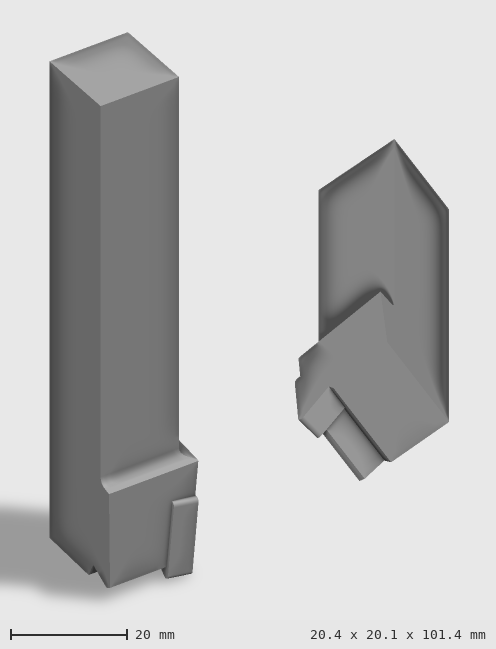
import cadquery as cq
import math

overall_height = 101.4
shank_width = 16.0
shelf_height = 22.7
shelf_angle = 15.0
shelf_fillet = 1.6
head_top_x = 18.6
head_low_x = 19.0
head_low_z = 2.6
nose_bevel_x = 17.8
nose_bevel_z = 2.0
notch_x = 13.7
notch_z = 4.4
heel_x = 12.3
heel_z = 1.4
base_left_z = 2.0

rake_slope = 0.1
head_depth = 20.1

insert_edge = 16.5
insert_thickness = 4.8
insert_nose_radius = 0.8
insert_lean = 1.2
insert_tip_x = 20.4
insert_tip_z = -0.57

shelf_slope = math.tan(math.radians(shelf_angle))
shelf_edge_z = shelf_height - (head_depth - shank_width) * shelf_slope


def rake_y(x, z):
    """Y of the rake plane at the given X and Z."""
    return head_depth - rake_slope * (x + shelf_edge_z - z)


def rake_plane(x, z):
    """Plane on the rake face: local X runs upward and local Y toward +X."""
    return cq.Plane(
        origin=(x, rake_y(x, z), z),
        xDir=(0, rake_slope, 1),
        normal=(rake_slope, 1, -rake_slope),
    )


def fillet_shelf(profile, direction, corner):
    """Round the inner corner between shank and shelf, an edge along the given direction."""
    inner_edge = profile.edges(direction).edges(cq.NearestToPointSelector(corner))
    return inner_edge.fillet(shelf_fillet)


def make_front_profile():
    """Prism along Y that carries the notch and the step on the +X side."""
    head_edge_z = shelf_height - (head_top_x - shank_width) * shelf_slope
    outline = [
        (0, overall_height),
        (0, base_left_z),
        (heel_x, heel_z),
        (notch_x, notch_z),
        (nose_bevel_x, nose_bevel_z),
        (head_low_x, head_low_z),
        (head_top_x, head_edge_z),
        (shank_width, shelf_height),
        (shank_width, overall_height),
    ]
    profile = cq.Workplane("XZ").polyline(outline).close().extrude(-head_depth)
    return fillet_shelf(profile, "|Y", (shank_width, head_depth / 2, shelf_height))


def make_side_profile():
    """Prism along X that carries the step on the +Y side."""
    outline = [
        (0, 0),
        (head_depth, 0),
        (head_depth, shelf_edge_z),
        (shank_width, shelf_height),
        (shank_width, overall_height),
        (0, overall_height),
    ]
    profile = cq.Workplane("YZ").polyline(outline).close().extrude(head_depth)
    return fillet_shelf(profile, "|X", (head_depth / 2, shank_width, shelf_height))


def make_insert():
    """Equilateral plate with rounded noses, square to the rake plane."""
    apex_depth = insert_edge * math.sqrt(3) / 2
    plate = (
        cq.Workplane(rake_plane(insert_tip_x, insert_tip_z).rotated((0, 0, -insert_lean)))
        .polyline([(0, 0), (insert_edge, 0), (insert_edge / 2, -apex_depth)])
        .close()
        .extrude(-insert_thickness)
    )
    nose_edges = plate.edges(cq.ParallelDirSelector(cq.Vector(rake_slope, 1, -rake_slope)))
    return nose_edges.fillet(insert_nose_radius)


def make_holder(insert):
    """Shank and head trimmed by the rake plane, with the seat for the insert."""
    body = make_front_profile().intersect(make_side_profile())
    behind_rake = (
        cq.Workplane(rake_plane(0, shelf_edge_z))
        .rect(2 * overall_height, 2 * overall_height)
        .extrude(head_depth)
    )
    return body.cut(behind_rake).cut(insert)


insert = make_insert()
holder = make_holder(insert)
result = cq.Compound.makeCompound([holder.val(), insert.val()])